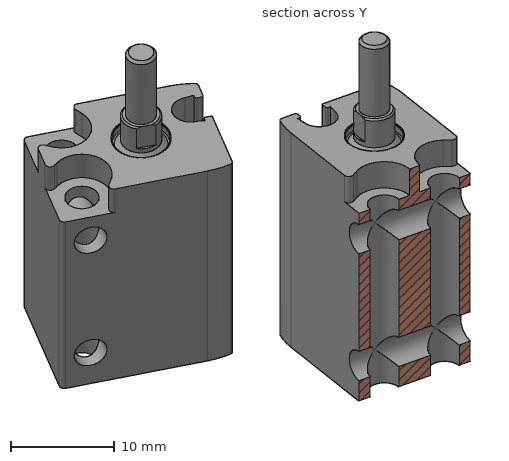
import cadquery as cq
import math

WIDTH = 13.0
DEPTH = 17.5
TOTAL_HEIGHT = 35.5
HOUSING_HEIGHT = 24.5
HALF_WIDTH = WIDTH / 2
FRONT_Y = -10.0
BACK_Y = FRONT_Y + DEPTH
FRONT_FILLET = 0.5
BACK_FILLET = 0.4
CROWN_RADIUS = 8.88
CROWN_LENGTH = 2.7

HOLE_DIAMETER = 3.3
HOLE_X = 3.5
HOLE_Y = -7.0
SIDE_HOLE_HEIGHTS = (4.0, 18.5)
POCKET_RADIUS = 2.9
POCKET_DEPTH = 3.0
TIP_RADIUS = 0.5
SIDE_TIP_Y = 2.5
FRONT_TIP_X = 2.35

SLOT_X = -2.6
SLOT_RADIUS = 1.8
SLOT_BOTTOM_Y = 3.9
SLOT_LIP_HALF_WIDTH = 1.9
MOUTH_HALF_WIDTH = 1.45
LIP_THICKNESS = 0.85
LIP_FILLET = 0.18

ROD_DIAMETER = 3.0
ROD_TIP_DIAMETER = 2.45
COLLAR_DIAMETER = 4.0
COLLAR_HEIGHT = 3.0
COLLAR_CHAMFER = 0.18
FLAT_SPACING = 3.5
FLAT_START = 0.32
ROD_INSERTION = 3.0
RECESS_RIM_DIAMETER = 5.82
RECESS_RIM_DEPTH = 0.1
RECESS_DIAMETER = 5.6
CONE_BASE_DIAMETER = 5.2
CONE_TOP_DEPTH = 0.2
RECESS_DEPTH = CONE_TOP_DEPTH + (CONE_BASE_DIAMETER - COLLAR_DIAMETER) / 2


def make_block():
    """Extruded block with inward-curving back sides and rounded corners."""
    crown_start_y = BACK_Y - CROWN_LENGTH

    def crown_x(length):
        return HALF_WIDTH - CROWN_RADIUS + math.sqrt(CROWN_RADIUS**2 - length**2)

    middle = (crown_x(CROWN_LENGTH / 2), crown_start_y + CROWN_LENGTH / 2)
    back_x = crown_x(CROWN_LENGTH)
    block = (
        cq.Workplane("XY")
        .moveTo(-HALF_WIDTH, FRONT_Y)
        .lineTo(HALF_WIDTH, FRONT_Y)
        .lineTo(HALF_WIDTH, crown_start_y)
        .threePointArc(middle, (back_x, BACK_Y))
        .lineTo(-back_x, BACK_Y)
        .threePointArc((-middle[0], middle[1]), (-HALF_WIDTH, crown_start_y))
        .close()
        .extrude(HOUSING_HEIGHT)
    )
    block = block.faces("<Y").edges("|Z").fillet(FRONT_FILLET)
    return block.faces(">Y").edges("|Z").fillet(BACK_FILLET)


def point_at(radius, angle, centre=(0, 0)):
    """Point on a circle at the given angle in radians."""
    return (centre[0] + radius * math.cos(angle), centre[1] + radius * math.sin(angle))


def tangent_offset(tip):
    """Angle between a tip centre and the straight wall's tangent point, seen from the hole axis."""
    return math.acos((POCKET_RADIUS + TIP_RADIUS) / math.hypot(*tip))


def make_left_pocket():
    """Left corner pocket cutter: a round wall joined by tangent lines to two rounded tips."""
    left = HOLE_X - HALF_WIDTH
    front = FRONT_Y - HOLE_Y
    side_tip = (left + TIP_RADIUS, SIDE_TIP_Y)
    front_tip = (FRONT_TIP_X, front + TIP_RADIUS)
    side_angle = math.atan2(side_tip[1], side_tip[0]) - tangent_offset(side_tip)
    front_angle = math.atan2(front_tip[1], front_tip[0]) + tangent_offset(front_tip)
    side_middle = point_at(TIP_RADIUS, math.pi + side_angle / 2, side_tip)
    front_middle = point_at(TIP_RADIUS, front_angle / 2 + 5 * math.pi / 4, front_tip)
    return (
        cq.Workplane("XY", origin=(-HOLE_X, HOLE_Y, HOUSING_HEIGHT))
        .moveTo(left, side_tip[1])
        .threePointArc(side_middle, point_at(TIP_RADIUS, side_angle + math.pi, side_tip))
        .lineTo(*point_at(POCKET_RADIUS, side_angle))
        .threePointArc(
            point_at(POCKET_RADIUS, (side_angle + front_angle) / 2),
            point_at(POCKET_RADIUS, front_angle),
        )
        .lineTo(*point_at(TIP_RADIUS, front_angle + math.pi, front_tip))
        .threePointArc(front_middle, (front_tip[0], front))
        .lineTo(left, front)
        .close()
        .extrude(-POCKET_DEPTH)
    )


def make_slot():
    """Full-height slot cutter with a round bottom and a narrower mouth."""
    centre_y = SLOT_BOTTOM_Y + SLOT_RADIUS
    lip_y = BACK_Y - LIP_THICKNESS
    return (
        cq.Workplane("XY", origin=(SLOT_X, 0, 0))
        .moveTo(-MOUTH_HALF_WIDTH, BACK_Y)
        .lineTo(-MOUTH_HALF_WIDTH, lip_y)
        .lineTo(-SLOT_LIP_HALF_WIDTH, lip_y)
        .lineTo(-SLOT_RADIUS, centre_y)
        .threePointArc((0, SLOT_BOTTOM_Y), (SLOT_RADIUS, centre_y))
        .lineTo(SLOT_LIP_HALF_WIDTH, lip_y)
        .lineTo(MOUTH_HALF_WIDTH, lip_y)
        .lineTo(MOUTH_HALF_WIDTH, BACK_Y)
        .close()
        .extrude(HOUSING_HEIGHT)
    )


def round_slot_lips(body):
    """Round the lip edges at the slot mouth."""
    lip_edges = cq.selectors.BoxSelector(
        (SLOT_X - SLOT_RADIUS, BACK_Y - LIP_THICKNESS - LIP_FILLET, 0),
        (SLOT_X + SLOT_RADIUS, BACK_Y + LIP_FILLET, HOUSING_HEIGHT),
    )
    return body.edges("|Z").edges(lip_edges).fillet(LIP_FILLET)


def make_rod_opening():
    """Revolved cutter: rod bore, conical recess floor and stepped rim."""
    bore = COLLAR_DIAMETER / 2
    return (
        cq.Workplane("XZ")
        .moveTo(0, HOUSING_HEIGHT - ROD_INSERTION)
        .lineTo(bore, HOUSING_HEIGHT - ROD_INSERTION)
        .lineTo(bore, HOUSING_HEIGHT - CONE_TOP_DEPTH)
        .lineTo(CONE_BASE_DIAMETER / 2, HOUSING_HEIGHT - RECESS_DEPTH)
        .lineTo(RECESS_DIAMETER / 2, HOUSING_HEIGHT - RECESS_DEPTH)
        .lineTo(RECESS_DIAMETER / 2, HOUSING_HEIGHT - RECESS_RIM_DEPTH)
        .lineTo(RECESS_RIM_DIAMETER / 2, HOUSING_HEIGHT - RECESS_RIM_DEPTH)
        .lineTo(RECESS_RIM_DIAMETER / 2, HOUSING_HEIGHT)
        .lineTo(0, HOUSING_HEIGHT)
        .close()
        .revolve(360, (0, 0), (0, 1))
    )


def make_housing():
    body = round_slot_lips(make_block().cut(make_slot()))
    left_pocket = make_left_pocket()
    body = body.cut(left_pocket).cut(left_pocket.mirror("YZ"))
    vertical_holes = (
        cq.Workplane("XY")
        .pushPoints([(-HOLE_X, HOLE_Y), (HOLE_X, HOLE_Y)])
        .circle(HOLE_DIAMETER / 2)
        .extrude(HOUSING_HEIGHT)
    )
    cross_holes = (
        cq.Workplane("YZ", origin=(-HALF_WIDTH, 0, 0))
        .pushPoints([(HOLE_Y, height) for height in SIDE_HOLE_HEIGHTS])
        .circle(HOLE_DIAMETER / 2)
        .extrude(WIDTH)
    )
    return body.cut(vertical_holes).cut(cross_holes).cut(make_rod_opening())


def make_rod():
    """Rod with a chamfered tip and a collar carrying two wrench flats."""
    collar_length = ROD_INSERTION + COLLAR_HEIGHT
    collar = (
        cq.Workplane("XY", origin=(0, 0, HOUSING_HEIGHT - ROD_INSERTION))
        .circle(COLLAR_DIAMETER / 2)
        .extrude(collar_length)
        .faces(">Z")
        .chamfer(COLLAR_CHAMFER)
    )
    flat_length = COLLAR_HEIGHT - FLAT_START
    flat_zone = cq.Workplane("XY", origin=(0, 0, HOUSING_HEIGHT + FLAT_START))
    flat_cutter = (
        flat_zone.rect(COLLAR_DIAMETER, COLLAR_DIAMETER)
        .extrude(flat_length)
        .cut(flat_zone.rect(FLAT_SPACING, COLLAR_DIAMETER).extrude(flat_length))
    )
    shoulder_z = HOUSING_HEIGHT + COLLAR_HEIGHT
    shaft = (
        cq.Workplane("XY", origin=(0, 0, shoulder_z))
        .circle(ROD_DIAMETER / 2)
        .extrude(TOTAL_HEIGHT - shoulder_z)
        .faces(">Z")
        .chamfer((ROD_DIAMETER - ROD_TIP_DIAMETER) / 2)
    )
    return collar.cut(flat_cutter).union(shaft)


housing = make_housing()
rod = make_rod()
result = cq.Compound.makeCompound([housing.solids().val(), rod.solids().val()])